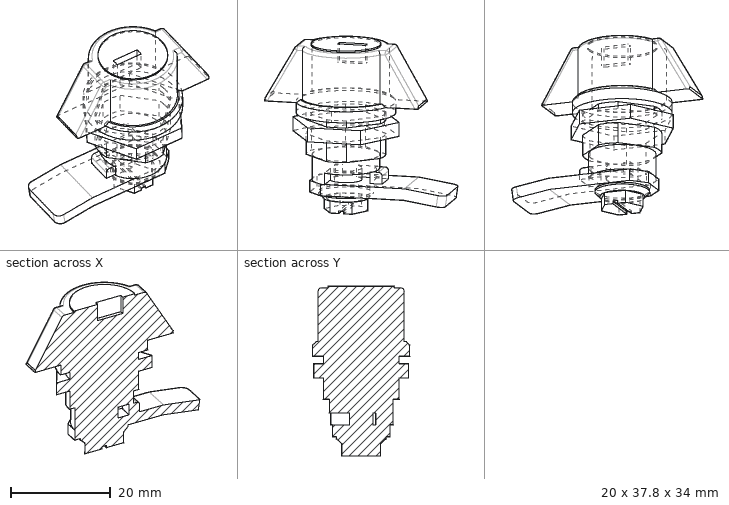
import cadquery as cq
import math


flange_top = 2.27
handle_base = 3.0
handle_top = 13.77
nut_top = -1.48
nut_bottom = -4.35
thread_bottom = -8.6
stop_top = -11.35
cam_top = -13.75
cam_thickness = 2.4
washer_rim_bottom = -16.5
washer_bottom = -17.48
screw_bottom = -19.97
cam_bottom = cam_top - cam_thickness

handle_radius = 8.93
wing_width = 7.85
wing_reach = 15.85
wing_lip = 0.55
wing_slope = 30.0
handle_fillet = 0.75

plug_radius = 7.0
plug_height = 0.3
keyway_width = 1.45
keyway_back = 1.5
keyway_front = -4.2
keyway_depth = 3.8

flange_diameter = 20.0
flange_chamfer = handle_base - flange_top
thread_radius = 8.0
thread_flats = 13.85
nut_flats = 19.03

rotor_radius = 6.77
core_radius = 3.2
stop_offset = 2.88

cam_width = 11.58
cam_back = rotor_radius
cam_back_chamfer = 2.95
cam_bend = -13.55
cam_tip = -21.98
cam_angle = 8.2
cam_tip_radius = 1.5
key_width = 5.3
key_inner = -5.65
key_outer = -8.15
key_fillet = 0.75

screw_flats = 7.8
screw_slot_width = 1.02
screw_slot_depth = 0.53


def cylinder(radius, bottom, top):
    return cq.Workplane("XY").workplane(offset=bottom).circle(radius).extrude(top - bottom)


def block(x_range, y_range, z_range):
    size = [high - low for low, high in (x_range, y_range, z_range)]
    corner = (x_range[0], y_range[0], z_range[0])
    return cq.Workplane("XY").box(*size, centered=False).translate(corner)


def hexagon_corner_radius(flats):
    return flats / 2 / math.cos(math.pi / 6)


def hexagon(flats, bottom, top):
    """Hexagonal prism with two of its flats facing -X and +X."""
    prism = cq.Workplane("XY").polygon(6, 2 * hexagon_corner_radius(flats)).extrude(top - bottom)
    return prism.rotate((0, 0, 0), (0, 0, 1), 30).translate((0, 0, bottom))


def make_handle():
    slope = math.tan(math.radians(wing_slope))
    base_half = wing_reach + wing_lip * slope
    top_half = base_half - (handle_top - flange_top) * slope
    wings = (
        cq.Workplane("YZ")
        .polyline([
            (-base_half, flange_top),
            (base_half, flange_top),
            (top_half, handle_top),
            (-top_half, handle_top),
        ])
        .close()
        .extrude(wing_width / 2, both=True)
    )
    handle = wings.union(cylinder(handle_radius, flange_top, handle_top))

    top_edges = handle.faces(">Z").edges()
    slope_edges = [
        edge
        for side in (-1, 1)
        for edge in handle.edges(
            cq.selectors.ParallelDirSelector(cq.Vector(0, side * slope, -1))
        ).vals()
    ]
    handle = handle.newObject(top_edges.vals() + slope_edges).fillet(handle_fillet)
    trim = block(
        (-handle_radius, handle_radius), (-wing_reach, wing_reach), (flange_top, handle_top)
    )
    return handle.intersect(trim)


def make_plug():
    return cylinder(plug_radius, flange_top, handle_top + plug_height)


def make_keyway():
    plug_top = handle_top + plug_height
    return block(
        (-keyway_width / 2, keyway_width / 2),
        (keyway_front, keyway_back),
        (plug_top - keyway_depth, plug_top),
    )


def make_housing():
    flange = cylinder(flange_diameter / 2, 0, handle_base).faces(">Z").chamfer(flange_chamfer)
    flats = (
        cq.Workplane("XY").rect(thread_flats, thread_flats).extrude(thread_bottom)
        .rotate((0, 0, 0), (0, 0, 1), 45)
    )
    thread = cylinder(thread_radius, thread_bottom, 0).intersect(flats)
    return flange.union(thread).union(hexagon(nut_flats, nut_bottom, nut_top))


def make_rotor():
    rotor = cylinder(rotor_radius, cam_top, thread_bottom)
    quarter = block(
        (-rotor_radius, stop_offset), (-rotor_radius, stop_offset), (cam_top, stop_top)
    )
    return rotor.cut(quarter).union(cylinder(core_radius, cam_top, stop_top))


def make_cam():
    angle = math.radians(cam_angle)
    tip_drop = (cam_bend - cam_tip) * math.tan(angle)
    bend_shift = cam_thickness * math.tan(angle / 2)
    lower_tip = cam_tip + cam_thickness * math.sin(angle)
    lower_tip_z = cam_top - tip_drop - cam_thickness * math.cos(angle)
    cam = (
        cq.Workplane("YZ")
        .polyline([
            (cam_back, cam_top),
            (cam_bend, cam_top),
            (cam_tip, cam_top - tip_drop),
            (lower_tip, lower_tip_z),
            (cam_bend + bend_shift, cam_bottom),
            (cam_back, cam_bottom),
        ])
        .close()
        .extrude(cam_width / 2, both=True)
    )
    cam = cam.edges("|Z and >Y").chamfer(cam_back_chamfer)
    cam = cam.faces("<Y").edges("not |X").fillet(cam_tip_radius)
    key = block(
        (-key_width / 2, key_width / 2), (key_outer, key_inner), (cam_top, stop_top)
    )
    return cam.union(key.edges("<Y and >Z").fillet(key_fillet))


def make_screw():
    corner_radius = hexagon_corner_radius(screw_flats)
    rim_radius = corner_radius + washer_rim_bottom - washer_bottom
    washer = (
        cq.Workplane("XZ")
        .polyline([
            (0, cam_bottom),
            (rim_radius, cam_bottom),
            (rim_radius, washer_rim_bottom),
            (corner_radius, washer_bottom),
            (0, washer_bottom),
        ])
        .close()
        .revolve(360, (0, 0, 0), (0, 1, 0))
    )
    slot = block(
        (-screw_flats, screw_flats),
        (-screw_slot_width / 2, screw_slot_width / 2),
        (screw_bottom, screw_bottom + screw_slot_depth),
    )
    return washer.union(hexagon(screw_flats, screw_bottom, washer_bottom).cut(slot))


result = (
    make_housing()
    .union(make_handle())
    .union(make_plug())
    .cut(make_keyway())
    .union(make_rotor())
    .union(make_cam())
    .union(make_screw())
)